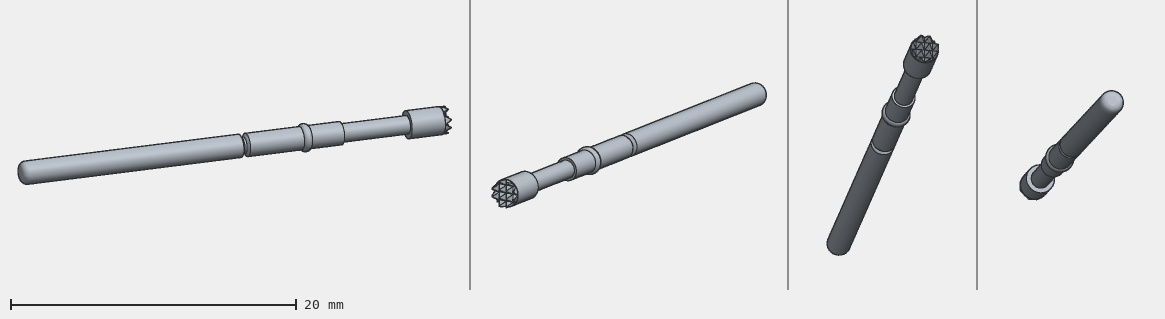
import cadquery as cq

LENGTH = 32.0

HEAD_RADIUS = 1.0
HEAD_LENGTH = 3.0
CROWN_RADIUS = 0.97
TOOTH_PITCH = 0.58
TOOTH_DEPTH = 0.5
TOOTH_GROOVE_STEPS = range(-2, 3)

STEM_RADIUS = 0.66
STEM_LENGTH = 5.0

BARREL_RADIUS = 0.83
RING_RADIUS = 1.0
RING_FROM_TIP = 10.7
RING_HALF_WIDTH = 0.3
WAIST_FROM_TIP = 15.3
WAIST_HALF_WIDTH = 0.25
WAIST_FLOOR_HALF_WIDTH = 0.08
WAIST_RADIUS = 0.6
TAIL_FILLET = 0.47

TIP_Y = LENGTH / 2
TAIL_Y = -LENGTH / 2
TOOTH_ROOT_Y = TIP_Y - TOOTH_DEPTH
HEAD_REAR_Y = TIP_Y - HEAD_LENGTH
BARREL_FRONT_Y = HEAD_REAR_Y - STEM_LENGTH
RING_Y = TIP_Y - RING_FROM_TIP
WAIST_Y = TIP_Y - WAIST_FROM_TIP


def revolve_about_y(profile):
    """Turn a closed half profile (X = radius) about the Y axis."""
    return profile.close().revolve(360, (0, 0, 0), (0, 1, 0))


def turned_body():
    """Head, stem and barrel as one turned solid."""
    profile = (
        cq.Workplane("XY")
        .moveTo(0, TIP_Y)
        .lineTo(CROWN_RADIUS, TIP_Y)
        .lineTo(CROWN_RADIUS, TOOTH_ROOT_Y)
        .lineTo(HEAD_RADIUS, TOOTH_ROOT_Y)
        .lineTo(HEAD_RADIUS, HEAD_REAR_Y)
        .lineTo(STEM_RADIUS, HEAD_REAR_Y)
        .lineTo(STEM_RADIUS, BARREL_FRONT_Y)
        .lineTo(BARREL_RADIUS, BARREL_FRONT_Y)
        .lineTo(BARREL_RADIUS, RING_Y + RING_HALF_WIDTH)
        .threePointArc((RING_RADIUS, RING_Y), (BARREL_RADIUS, RING_Y - RING_HALF_WIDTH))
        .lineTo(BARREL_RADIUS, WAIST_Y + WAIST_HALF_WIDTH)
        .lineTo(WAIST_RADIUS, WAIST_Y + WAIST_FLOOR_HALF_WIDTH)
        .lineTo(WAIST_RADIUS, WAIST_Y - WAIST_FLOOR_HALF_WIDTH)
        .lineTo(BARREL_RADIUS, WAIST_Y - WAIST_HALF_WIDTH)
        .lineTo(BARREL_RADIUS, TAIL_Y)
        .lineTo(0, TAIL_Y)
    )
    return revolve_about_y(profile).faces("<Y").edges().fillet(TAIL_FILLET)


def tooth_groove(offset):
    """V groove running along Z across the head face, centred at X = offset."""
    half_pitch = TOOTH_PITCH / 2
    return (
        cq.Workplane("XY")
        .moveTo(offset - half_pitch, TIP_Y)
        .lineTo(offset, TOOTH_ROOT_Y)
        .lineTo(offset + half_pitch, TIP_Y)
        .close()
        .extrude(2 * HEAD_RADIUS, both=True)
    )


def cut_teeth(body):
    """Cross two sets of V grooves so that a grid of pyramid teeth is left."""
    for step in TOOTH_GROOVE_STEPS:
        groove = tooth_groove(step * TOOTH_PITCH)
        body = body.cut(groove)
        body = body.cut(groove.rotate((0, 0, 0), (0, 1, 0), 90))
    return body


result = cut_teeth(turned_body())